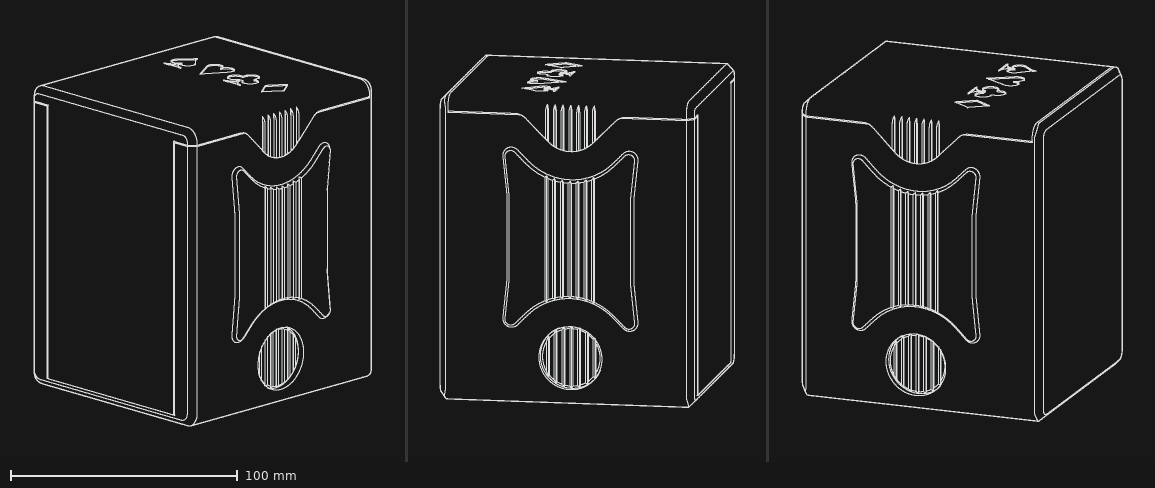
import cadquery as cq
import math

WIDTH = 102.0
DEPTH = 114.0
HEIGHT = 137.2
CORNER_RADIUS = 5.9
CHAMFER = 3.0

WALL = 4.1
GAP = 0.5
LID_THICKNESS = 7.0
PANEL_HALF_WIDTH = 39.4
PANEL_BOTTOM = 4.4

DIAGONAL = math.sqrt(0.5)

LID_UNDERSIDE = HEIGHT - LID_THICKNESS
HOUSING_RIM = LID_UNDERSIDE - GAP
LID_BACK = DEPTH / 2 - WALL
FRONT = -DEPTH / 2
HALF_WIDTH = WIDTH / 2

SIDE_CENTER_Y = -WALL / 2
GRIP_CENTER_Z = 74.6
THUMB_SPACING = 53.4
THUMB_RADIUS = 14.1
TONGUE_Z = GRIP_CENTER_Z + THUMB_SPACING
THUMB_Z = GRIP_CENTER_Z - THUMB_SPACING
TONGUE_BLEND_RADIUS = 6.9

DISC_DEPTH = 2.0
DISC_CHAMFER = 1.2

GRIP_HEIGHT = 1.6
GRIP_EDGE_INSET = 1.2
THUMB_TO_GRIP = 12.6
GRIP_CURVE_RADIUS = THUMB_RADIUS + THUMB_TO_GRIP
GRIP_WAIST_HALF_WIDTH = 28.4
GRIP_WAIST_HALF_HEIGHT = 18.4
GRIP_CORNER_Y = 31.4
GRIP_CORNER_RADIUS = 3.8
GRIP_BEND_RADIUS = 32.9

GROOVE_COUNT = 7
GROOVE_ROW_WIDTH = 21.0
GROOVE_PITCH = GROOVE_ROW_WIDTH / (GROOVE_COUNT - 1)
GROOVE_WIDTH = 1.4
GROOVE_DEPTH = 1.0

SUIT_DEPTH = 0.5
SPADE_X = -27.6
HEART_X = -9.6
CLUB_X = 9.6
DIAMOND_X = 28.8
SUIT_BOTTOM = 7.8
SUIT_TOP = 24.1
STEM_BOTTOM = 8.4
STEM_FOOT_HEIGHT = 0.4


def box(x_range, y_range, z_range):
    """Box between the given limits."""
    sizes = [high - low for low, high in (x_range, y_range, z_range)]
    return cq.Workplane("XY").box(*sizes, centered=False).translate((x_range[0], y_range[0], z_range[0]))


def side_plane(x, z):
    """Plane facing -X whose local axes are -Y and Z, centred on the side features."""
    return cq.Workplane(cq.Plane(origin=(x, SIDE_CENTER_Y, z), xDir=(0, -1, 0), normal=(-1, 0, 0)))


def both_sides(shape):
    """The shape together with its mirror image across X = 0."""
    return shape.union(shape.mirror("YZ"))


def housing_block():
    """Block with rounded long edges whose rounding also runs along the mitres of the end chamfers."""
    block = cq.Workplane("XY").box(WIDTH, DEPTH, HEIGHT, centered=(True, True, False))
    block = block.edges("|Y").fillet(CORNER_RADIUS)
    front_width = WIDTH - 2 * CHAMFER
    front_height = HEIGHT - 2 * CHAMFER
    frustum = (
        cq.Workplane("XZ", origin=(0, FRONT, HEIGHT / 2))
        .rect(front_width, front_height)
        .workplane(offset=-DEPTH)
        .rect(front_width + 2 * DEPTH, front_height + 2 * DEPTH)
        .loft(ruled=True)
        .edges("not #Y")
        .fillet(CORNER_RADIUS)
    )
    return block.intersect(frustum).intersect(frustum.mirror("XZ"))


def lid_block():
    """Block with rounded top edges and one chamfer running evenly around the front outline."""
    block = cq.Workplane("XY").box(WIDTH, DEPTH, HEIGHT, centered=(True, True, False))
    block = block.edges("|Y and >Z").fillet(CORNER_RADIUS)
    return block.faces("<Y").edges().chamfer(CHAMFER)


def tongue():
    """Tongue hanging from one lid side: a round tip between 45 degree flanks blended into the lid."""
    rise = LID_UNDERSIDE - TONGUE_Z
    flank_y = THUMB_RADIUS * DIAGONAL
    corner_y = THUMB_RADIUS / DIAGONAL + rise
    half_turn = math.radians(45 / 2)
    blend = TONGUE_BLEND_RADIUS * math.tan(half_turn)
    blend_y = corner_y - blend * DIAGONAL
    blend_z = rise - blend * DIAGONAL
    middle_y = corner_y + blend - TONGUE_BLEND_RADIUS * math.sin(half_turn)
    middle_z = rise - TONGUE_BLEND_RADIUS * (1 - math.cos(half_turn))
    top = HEIGHT - TONGUE_Z
    outline = (
        side_plane(-HALF_WIDTH + WALL, TONGUE_Z)
        .moveTo(-flank_y, -flank_y)
        .threePointArc((0, -THUMB_RADIUS), (flank_y, -flank_y))
        .lineTo(blend_y, blend_z)
        .threePointArc((middle_y, middle_z), (corner_y + blend, rise))
        .lineTo(corner_y + blend, top)
        .lineTo(-corner_y - blend, top)
        .lineTo(-corner_y - blend, rise)
        .threePointArc((-middle_y, middle_z), (-blend_y, blend_z))
        .close()
    )
    return outline.extrude(WALL)


def round_grip_edges(blank, height, radius):
    """Fillet the X edges of the grip blank that lie at the given height above and below its centre."""
    reach = 0.1
    for z in (GRIP_CENTER_Z - height, GRIP_CENTER_Z + height):
        zone = cq.selectors.BoxSelector((-WIDTH, -DEPTH, z - reach), (0, DEPTH, z + reach))
        blank = blank.edges(zone).edges("|X").fillet(radius)
    return blank


def grip():
    """Waisted grip pad with sloping edges, raised from one housing side."""
    flank_y = GRIP_CURVE_RADIUS * DIAGONAL
    flank_z = THUMB_SPACING - flank_y
    corner_z = flank_z + GRIP_CORNER_Y - flank_y
    crest_z = THUMB_SPACING - GRIP_CURVE_RADIUS
    waist = GRIP_WAIST_HALF_WIDTH
    bend_z = GRIP_WAIST_HALF_HEIGHT
    blank = (
        side_plane(-HALF_WIDTH, GRIP_CENTER_Z)
        .moveTo(flank_y, flank_z)
        .threePointArc((0, crest_z), (-flank_y, flank_z))
        .lineTo(-GRIP_CORNER_Y, corner_z)
        .lineTo(-waist, bend_z)
        .lineTo(-waist, -bend_z)
        .lineTo(-GRIP_CORNER_Y, -corner_z)
        .lineTo(-flank_y, -flank_z)
        .threePointArc((0, -crest_z), (flank_y, -flank_z))
        .lineTo(GRIP_CORNER_Y, -corner_z)
        .lineTo(waist, -bend_z)
        .lineTo(waist, bend_z)
        .lineTo(GRIP_CORNER_Y, corner_z)
        .close()
        .extrude(GRIP_HEIGHT)
    )
    blank = round_grip_edges(blank, corner_z, GRIP_CORNER_RADIUS)
    blank = round_grip_edges(blank, bend_z, GRIP_BEND_RADIUS)
    slope = math.degrees(math.atan(GRIP_EDGE_INSET / GRIP_HEIGHT))
    base = blank.faces(">X").wires().val()
    outline = side_plane(-HALF_WIDTH, GRIP_CENTER_Z).newObject([base]).toPending()
    return outline.extrude(GRIP_HEIGHT, taper=slope)


def thumb_recess():
    """Cutter for a round recess whose floor is a disc with a chamfered rim."""
    full_depth = DISC_DEPTH + DISC_CHAMFER
    well = side_plane(-HALF_WIDTH + full_depth, THUMB_Z).circle(THUMB_RADIUS).extrude(full_depth)
    disc = side_plane(-HALF_WIDTH + full_depth, THUMB_Z).circle(THUMB_RADIUS).extrude(DISC_CHAMFER, taper=45)
    return well.cut(disc)


def grooves(surface_x, bottom, top):
    """Cutter for a row of vertical V grooves in the surface at the given X."""
    first_y = SIDE_CENTER_Y - GROOVE_ROW_WIDTH / 2
    row = []
    for index in range(GROOVE_COUNT):
        y = first_y + index * GROOVE_PITCH
        groove = (
            cq.Workplane("XY", origin=(surface_x, y, bottom))
            .moveTo(0, -GROOVE_WIDTH / 2)
            .lineTo(GROOVE_DEPTH, 0)
            .lineTo(0, GROOVE_WIDTH / 2)
            .lineTo(-GROOVE_DEPTH, GROOVE_WIDTH / 2)
            .lineTo(-GROOVE_DEPTH, -GROOVE_WIDTH / 2)
            .close()
            .extrude(top - bottom)
        )
        row.append(groove.val())
    return cq.Workplane("XY").newObject(row)


def suit_sketch(x):
    """Start of a suit outline on the floor of its pocket."""
    return cq.Workplane("XY", origin=(x, 0, HEIGHT - SUIT_DEPTH))


def mirrored(point):
    """The point on the other side of a suit's centre line."""
    return (-point[0], point[1])


def stem(x):
    """Flared foot under a spade or a club."""
    half_width = 5.2
    foot_top = STEM_BOTTOM + STEM_FOOT_HEIGHT
    apex = 13.7
    neck_x, neck_y = 1.6, 10.4
    outline = (
        suit_sketch(x)
        .moveTo(-half_width, STEM_BOTTOM)
        .lineTo(half_width, STEM_BOTTOM)
        .lineTo(half_width, foot_top)
        .threePointArc((neck_x, neck_y), (0, apex))
        .threePointArc((-neck_x, neck_y), (-half_width, foot_top))
        .close()
    )
    return outline.extrude(SUIT_DEPTH)


def spade():
    """Pointed leaf with two round lobes on a stem."""
    tip_side = (1.2, 21.5)
    shoulder = (5.4, 17.3)
    lobe_bottom = (4.0, 12.1)
    notch_y = 14.3
    leaf = (
        suit_sketch(SPADE_X)
        .moveTo(0, SUIT_TOP)
        .lineTo(*mirrored(tip_side))
        .lineTo(*mirrored(shoulder))
        .threePointArc(mirrored(lobe_bottom), (0, notch_y))
        .threePointArc(lobe_bottom, shoulder)
        .lineTo(*tip_side)
        .close()
        .extrude(SUIT_DEPTH)
    )
    return leaf.union(stem(SPADE_X))


def heart():
    """Two round lobes running down to a point."""
    shoulder = (6.7, 18.8)
    lobe_top = (3.5, SUIT_TOP)
    notch_y = 20.6
    outline = (
        suit_sketch(HEART_X)
        .moveTo(0, SUIT_BOTTOM)
        .lineTo(*mirrored(shoulder))
        .threePointArc(mirrored(lobe_top), (0, notch_y))
        .threePointArc(lobe_top, shoulder)
        .close()
    )
    return outline.extrude(SUIT_DEPTH)


def club():
    """Three round leaves around a square middle, on a stem."""
    leaf_radius = 3.5
    leaf_offset = 4.7
    top_leaf_y = SUIT_TOP - leaf_radius
    low_leaf_y = 15.4
    middle_bottom = 14.1
    leaves = (
        suit_sketch(CLUB_X)
        .pushPoints([(0, top_leaf_y), (-leaf_offset, low_leaf_y), (leaf_offset, low_leaf_y)])
        .circle(leaf_radius)
        .extrude(SUIT_DEPTH)
    )
    middle = box(
        (CLUB_X - leaf_radius, CLUB_X + leaf_radius),
        (middle_bottom, top_leaf_y),
        (HEIGHT - SUIT_DEPTH, HEIGHT),
    )
    return leaves.union(middle).union(stem(CLUB_X))


def diamond():
    """Upright rhombus."""
    half_width = 5.8
    half_height = (SUIT_TOP - SUIT_BOTTOM) / 2
    outline = (
        suit_sketch(DIAMOND_X)
        .moveTo(0, SUIT_BOTTOM)
        .lineTo(half_width, SUIT_BOTTOM + half_height)
        .lineTo(0, SUIT_TOP)
        .lineTo(-half_width, SUIT_BOTTOM + half_height)
        .close()
    )
    return outline.extrude(SUIT_DEPTH)


def make_housing():
    """Box body with a back wall, open to the lid at the top and the front."""
    open_half_width = PANEL_HALF_WIDTH + GAP
    top_opening = box((-WIDTH, WIDTH), (-DEPTH, LID_BACK), (HOUSING_RIM, 2 * HEIGHT))
    front_opening = box(
        (-open_half_width, open_half_width), (-DEPTH, FRONT + WALL), (PANEL_BOTTOM, HEIGHT)
    )
    housing = housing_block().cut(top_opening).cut(front_opening).cut(both_sides(tongue()))
    pad = grip().cut(grooves(-HALF_WIDTH - GRIP_HEIGHT, THUMB_Z, TONGUE_Z))
    disc_bottom = THUMB_Z - THUMB_RADIUS
    disc_top = THUMB_Z + THUMB_RADIUS
    disc_grooves = grooves(-HALF_WIDTH + DISC_DEPTH, disc_bottom, disc_top)
    well = side_plane(-HALF_WIDTH + WALL, THUMB_Z).circle(THUMB_RADIUS).extrude(WALL)
    recess = thumb_recess().union(disc_grooves.intersect(well))
    return housing.cut(both_sides(recess)).union(both_sides(pad))


def make_lid():
    """Top plate with a front panel and a grooved tongue on each side."""
    plate = box((-WIDTH, WIDTH), (-DEPTH, LID_BACK), (LID_UNDERSIDE, 2 * HEIGHT))
    panel = box(
        (-PANEL_HALF_WIDTH, PANEL_HALF_WIDTH), (-DEPTH, FRONT + WALL), (PANEL_BOTTOM, HEIGHT)
    )
    envelope = plate.union(panel).union(both_sides(tongue()))
    lid = lid_block().intersect(envelope)
    tongue_bottom = TONGUE_Z - THUMB_RADIUS
    lid = lid.cut(both_sides(grooves(-HALF_WIDTH, tongue_bottom, HEIGHT)))
    for suit in (spade(), heart(), club(), diamond()):
        lid = lid.cut(suit)
    return lid


housing = make_housing()
lid = make_lid()
result = cq.Compound.makeCompound([housing.solids().val(), lid.solids().val()])